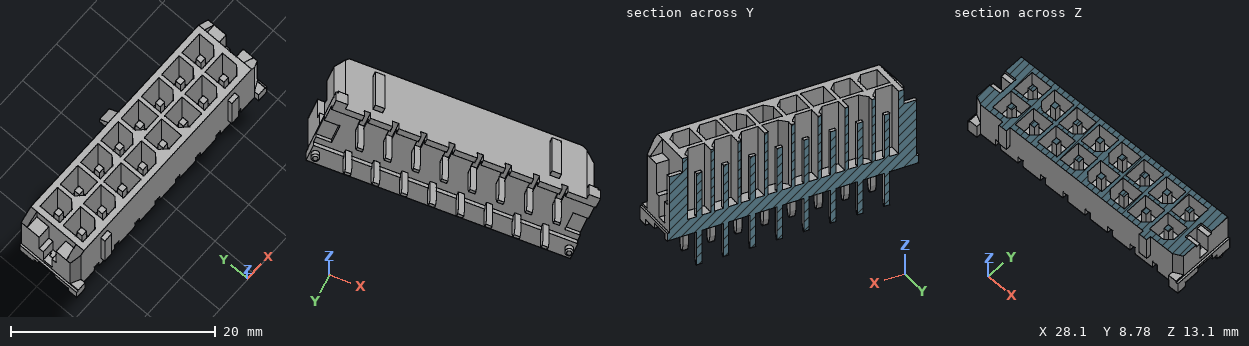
import cadquery as cq

total_length = 28.15
body_length = 27.7
body_depth = 6.9
body_height = 9.88
front_y = -body_depth / 2
back_y = body_depth / 2
end_x = body_length / 2
shoulder_z = 8.22
inner_end_x = 12.41
front_reach = 0.53

front_wall = 1.0
back_wall = 0.8
wide_slot_width = 2.2
wide_slot_floor = 4.73
narrow_slot_width = 1.13
narrow_slot_floor = 2.22
recess_depth = 0.08
recess_step_x = 12.8
recess_end_x = 13.1
recess_tip_width = 0.82

corner_length = 1.0
corner_depth = 0.5
block_inner_x = 12.85
block_height = 1.9
flange_height = 1.63

underside_z = 0.68
front_rail = 0.6
back_rail = 1.85
notch_width = 2.05
notch_center_y = -0.05
notch_top = 1.27
peg_diameter = 0.85
peg_length = 0.85
peg_chamfer = 0.17
peg_x = 13.5
peg_from_back = 1.0

rib_width = 1.0
rib_center_x = 9.4
latch_width = 1.45
latch_reach = 1.35
latch_top = 9.23
latch_nose_top = 7.7
latch_bottom = 6.98
latch_fillet = 0.6

columns = 8
row_span = 21.0
pitch = row_span / (columns - 1)
cavity_size = 2.55
cavity_floor = 2.53
key_size = 0.73
pin_size = 0.65
pin_top = 7.6
pin_tip_width = 0.28
pin_taper_start = -2.45
pin_bottom = -3.2
slot_top = 1.0

back_row_keys = (1, -1, 1, 1, -1, 1, 1, 1)
front_row_keys = (1, 1, 0, 1, -1, -1, 1, 1)
rows = ((pitch / 2, back_row_keys), (-pitch / 2, front_row_keys))


def block(x_range, y_range, z_range):
    """Box spanning the given ranges."""
    lows, highs = zip(x_range, y_range, z_range)
    sizes = [high - low for low, high in zip(lows, highs)]
    return cq.Workplane("XY").box(*sizes, centered=False).translate(lows)


def centered_range(center, width):
    return (center - width / 2, center + width / 2)


def column_x(column):
    return -row_span / 2 + column * pitch


def on_both_ends(shape):
    """The +X feature together with its mirror image at the -X end."""
    return shape.union(shape.mirror("YZ"))


def housing_block():
    """Full-length block with sloped top ends."""
    outline = [
        (-end_x, 0),
        (end_x, 0),
        (end_x, shoulder_z),
        (inner_end_x, body_height),
        (-inner_end_x, body_height),
        (-end_x, shoulder_z),
    ]
    return cq.Workplane("XZ").polyline(outline).close().extrude(body_depth / 2, both=True)


def end_pocket():
    """Wide top, wide slot and narrow slot that step down into one end."""
    x_range = (inner_end_x, total_length / 2)
    pocket = block(x_range, (front_y + front_wall, back_y - back_wall), (shoulder_z, body_height))
    for width, floor in ((wide_slot_width, wide_slot_floor), (narrow_slot_width, narrow_slot_floor)):
        pocket = pocket.union(block(x_range, centered_range(0, width), (floor, body_height)))
    for reach, width in ((recess_step_x, narrow_slot_width), (recess_end_x, recess_tip_width)):
        recess_z = (narrow_slot_floor - recess_depth, narrow_slot_floor)
        pocket = pocket.union(block((inner_end_x, reach), centered_range(0, width), recess_z))
    return pocket


def corner_cut():
    """Upright chamfer on a front corner, above the corner block."""
    outline = [
        (end_x, front_y),
        (end_x, front_y + corner_depth),
        (end_x - corner_length, front_y),
    ]
    return (
        cq.Workplane("XY", origin=(0, 0, block_height))
        .polyline(outline)
        .close()
        .extrude(body_height - block_height)
    )


def end_flange():
    """Thin strip across one end, with the block at its front corner."""
    outer_front_y = front_y - front_reach
    strip = block((end_x, total_length / 2), (outer_front_y, back_y), (0, flange_height))
    corner = block((block_inner_x, end_x), (outer_front_y, front_y), (0, block_height))
    return strip.union(corner)


def underside_channel():
    """Channel between the front and back rails, with a notch under each end."""
    y_range = (front_y + front_rail, back_y - back_rail)
    channel = block((-total_length / 2, total_length / 2), y_range, (0, underside_z))
    notch_y = centered_range(notch_center_y, notch_width)
    notch = block((inner_end_x, total_length / 2), notch_y, (0, notch_top))
    return channel.union(on_both_ends(notch))


def peg():
    """Round locating peg under the back rail."""
    return (
        cq.Workplane("XY", origin=(peg_x, back_y - peg_from_back, 0))
        .circle(peg_diameter / 2)
        .extrude(-peg_length)
        .faces("<Z")
        .chamfer(peg_chamfer)
    )


def rib():
    """Upright rib on the front face."""
    y_range = (front_y - front_reach, front_y)
    return block(centered_range(rib_center_x, rib_width), y_range, (block_height, shoulder_z))


def latch():
    """Wedge on the back face, filleted underneath where it meets the wall."""
    nose_y = back_y + latch_reach
    diagonal = latch_fillet * 0.5 ** 0.5
    fillet_mid = (back_y + latch_fillet - diagonal, latch_bottom - latch_fillet + diagonal)
    return (
        cq.Workplane("YZ")
        .moveTo(back_y, latch_top)
        .lineTo(nose_y, latch_nose_top)
        .lineTo(nose_y, latch_bottom)
        .lineTo(back_y + latch_fillet, latch_bottom)
        .threePointArc(fillet_mid, (back_y, latch_bottom - latch_fillet))
        .close()
        .extrude(latch_width / 2, both=True)
    )


def cavity(key_side):
    """Square socket, with one front corner cut off if it is keyed."""
    socket = (
        cq.Workplane("XY", origin=(0, 0, cavity_floor))
        .rect(cavity_size, cavity_size)
        .extrude(body_height - cavity_floor)
    )
    if key_side == 0:
        return socket
    keyed_edge = "|Z and <Y and >X" if key_side > 0 else "|Z and <Y and <X"
    return socket.edges(keyed_edge).chamfer(key_size)


def pin():
    """Square contact whose tail tapers in Y towards the tip."""
    half_width = pin_size / 2
    half_tip = pin_tip_width / 2
    outline = [
        (-half_width, pin_top),
        (-half_width, pin_taper_start),
        (-half_tip, pin_bottom),
        (half_tip, pin_bottom),
        (half_width, pin_taper_start),
        (half_width, pin_top),
    ]
    return cq.Workplane("YZ").polyline(outline).close().extrude(half_width, both=True)


def front_slot(x):
    """Slot through the front rail back to a contact of the front row."""
    y_range = (front_y, -pitch / 2)
    return block(centered_range(x, pin_size), y_range, (0, slot_top))


result = housing_block()
result = result.cut(on_both_ends(end_pocket()))
result = result.cut(on_both_ends(corner_cut()))
result = result.union(on_both_ends(end_flange()))
result = result.cut(underside_channel())
result = result.union(on_both_ends(peg()))
result = result.union(on_both_ends(rib()))
result = result.union(latch())

for column in range(columns):
    result = result.cut(front_slot(column_x(column)))

for row_y, keys in rows:
    for column, key_side in enumerate(keys):
        contact_place = (column_x(column), row_y, 0)
        result = result.cut(cavity(key_side).translate(contact_place))
        result = result.union(pin().translate(contact_place))